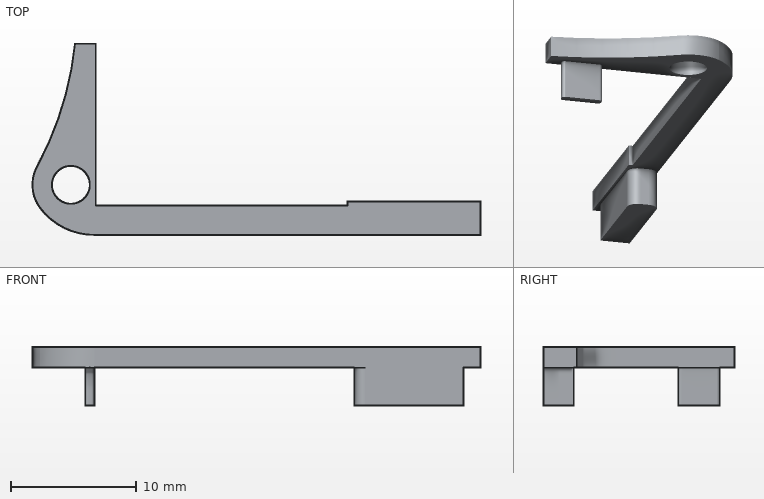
import cadquery as cq
import math

length = 35.75
width = 15.25
height = 4.7
plate_thickness = 1.65
leg_height = height - plate_thickness

arm_inner_x = 5.08
tip_width = 1.68
bar_width = 2.35
pad_width = 2.68
pad_start_x = 25.15

hole_diameter = 3.0
eye_radius = 3.07
eye_y = 4.0
eye_end_angle = math.radians(150)
elbow_start_angle = math.radians(217)
elbow_end_x = 4.97

back_edge_radius = 26.1

bar_leg_start_x = 25.67
bar_leg_end_x = 34.4
bar_leg_width = 2.43
bar_leg_corner = 0.85

arm_leg_thickness = 0.75
arm_leg_start_y = 10.75
arm_leg_end_y = 14.1
arm_leg_corner = 0.25


def eye_point(angle):
    """Point on the outer round of the eye."""
    return (
        eye_radius + eye_radius * math.cos(angle),
        eye_y + eye_radius * math.sin(angle),
    )


def make_plate():
    elbow_start = eye_point(elbow_start_angle)
    profile = (
        cq.Workplane("XY", origin=(0, 0, leg_height))
        .moveTo(elbow_end_x, 0)
        .lineTo(length, 0)
        .lineTo(length, pad_width)
        .lineTo(pad_start_x, pad_width)
        .lineTo(pad_start_x, bar_width)
        .lineTo(arm_inner_x, bar_width)
        .lineTo(arm_inner_x, width)
        .lineTo(arm_inner_x - tip_width, width)
        .radiusArc(eye_point(eye_end_angle), back_edge_radius)
        .threePointArc((0, eye_y), elbow_start)
    )
    plate = profile.tangentArcPoint((elbow_end_x, 0), relative=False).close().extrude(plate_thickness)
    hole = (
        cq.Workplane("XY", origin=(eye_radius, eye_y, leg_height))
        .circle(hole_diameter / 2)
        .extrude(plate_thickness)
    )
    return plate.cut(hole)


def make_leg(start_x, end_x, start_y, end_y, rounded_edges, corner_radius):
    """Block from the base up to the plate, with its chosen upright edges rounded."""
    return (
        cq.Workplane("XY")
        .box(end_x - start_x, end_y - start_y, leg_height, centered=False)
        .edges(rounded_edges)
        .fillet(corner_radius)
        .translate((start_x, start_y, 0))
    )


bar_leg = make_leg(bar_leg_start_x, bar_leg_end_x, 0, bar_leg_width, "|Z and <X", bar_leg_corner)
arm_leg = make_leg(
    elbow_end_x - arm_leg_thickness,
    elbow_end_x,
    arm_leg_start_y,
    arm_leg_end_y,
    "|Z",
    arm_leg_corner,
)

result = make_plate().union(bar_leg).union(arm_leg)